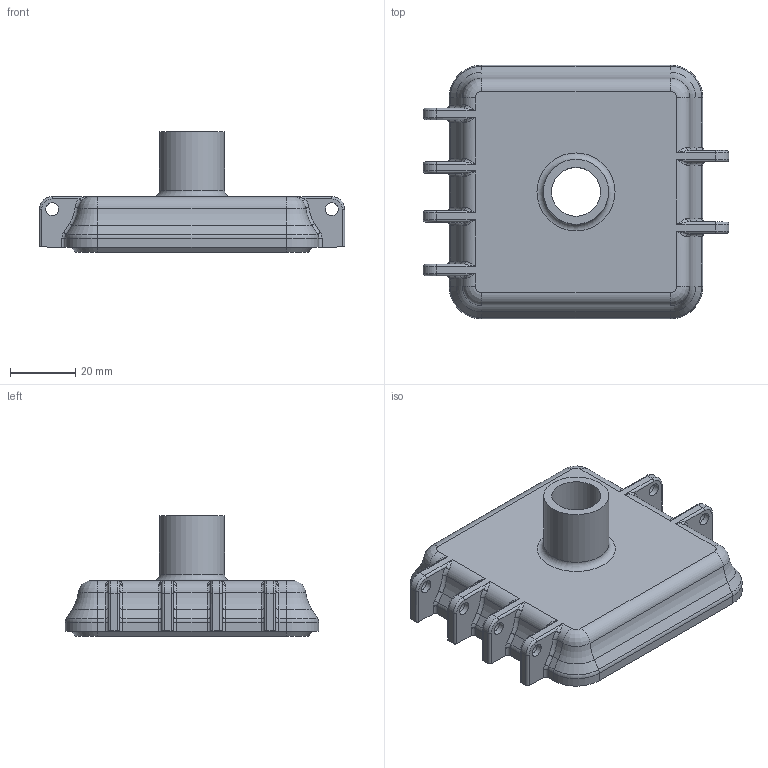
import cadquery as cq
import math

BODY_WIDTH = 78.0
BODY_HEIGHT = 15.6
CORNER_RADIUS = 10.0
SKIRT_HEIGHT = 2.8
SKIRT_BLEND_HEIGHT = 1.2
SHOULDER_RADIUS = 4.0
SHOULDER_INSET = 8.0
SHOULDER_LEAN = math.radians(7)
FLARE_LEAN = math.radians(32)
FLARE_TOP_Z = 6.8

LIP_WIDTH = 74.0
LIP_HEIGHT = 1.51
LIP_TAPER = 1.2

TUBE_DIAMETER = 20.0
TUBE_BORE = 15.0
TUBE_HEIGHT = 20.0
TUBE_FILLET = 2.0

EAR_SPAN = 93.99
EAR_ROOT_DEPTH = 10.0
EAR_THICKNESS = 3.5
EAR_TIP_RADIUS = 4.0
EAR_TIP_RISE = 0.2
EAR_EDGE_FILLET = 0.7
EAR_ROOT_FILLET = 1.0
EAR_HOLE_DIAMETER = 4.0
EAR_HOLE_DEPTH_FROM_TOP = 3.85
LEFT_EAR_Y = (-24.0, -7.5, 7.5, 24.0)
RIGHT_EAR_Y = (-11.0, 11.0)

TOLERANCE = 0.05

half_width = BODY_WIDTH / 2
flat_half_width = half_width - SHOULDER_INSET
corner_centre = half_width - CORNER_RADIUS
lip_corner_radius = CORNER_RADIUS - (BODY_WIDTH - LIP_WIDTH) / 2
ear_tip_x = EAR_SPAN / 2
ear_root_x = flat_half_width - EAR_ROOT_DEPTH


def side_profile(inner):
    """Section of the S-shaped side as (distance from the middle plane, z), closed off at `inner`."""
    shoulder_z = BODY_HEIGHT - SHOULDER_RADIUS

    def shoulder_point(angle):
        return (
            flat_half_width + SHOULDER_RADIUS * math.cos(angle),
            shoulder_z + SHOULDER_RADIUS * math.sin(angle),
        )

    waist = shoulder_point(SHOULDER_LEAN)
    waist_radius = (waist[1] - FLARE_TOP_Z) / (math.sin(FLARE_LEAN) - math.sin(SHOULDER_LEAN))

    def waist_point(angle):
        return (
            waist[0] + waist_radius * (math.cos(SHOULDER_LEAN) - math.cos(angle)),
            waist[1] - waist_radius * (math.sin(angle) - math.sin(SHOULDER_LEAN)),
        )

    flare_top = waist_point(FLARE_LEAN)
    blend_radius = SKIRT_BLEND_HEIGHT / math.sin(FLARE_LEAN)

    def blend_point(angle):
        return (
            half_width - blend_radius * (1 - math.cos(angle)),
            SKIRT_HEIGHT + blend_radius * math.sin(angle),
        )

    return (
        cq.Workplane("XZ")
        .moveTo(inner, 0)
        .lineTo(half_width, 0)
        .lineTo(half_width, SKIRT_HEIGHT)
        .threePointArc(blend_point(FLARE_LEAN / 2), blend_point(FLARE_LEAN))
        .lineTo(*flare_top)
        .threePointArc(waist_point((SHOULDER_LEAN + FLARE_LEAN) / 2), waist)
        .threePointArc(shoulder_point(math.radians(45)), (flat_half_width, BODY_HEIGHT))
        .lineTo(inner, BODY_HEIGHT)
        .close()
    )


def hood_body():
    """Square core with four straight walls and four turned corners around it."""
    core_width = 2 * corner_centre
    body = cq.Workplane("XY").box(core_width, core_width, BODY_HEIGHT, centered=(True, True, False))
    wall = side_profile(corner_centre).extrude(corner_centre, both=True)
    corner = side_profile(corner_centre).revolve(360, (corner_centre, 0), (corner_centre, 1))
    corner = corner.translate((0, corner_centre, 0))
    for turn in range(4):
        quarter_turns = ((0, 0, 0), (0, 0, 1), 90 * turn)
        body = body.union(wall.rotate(*quarter_turns)).union(corner.rotate(*quarter_turns))
    return body.clean()


def locating_lip():
    """Lip below the body, its side tapering inwards on the way down."""
    outline = cq.Sketch().rect(LIP_WIDTH, LIP_WIDTH).vertices().fillet(lip_corner_radius)
    taper = math.degrees(math.atan2(LIP_TAPER, LIP_HEIGHT))
    return cq.Workplane("XY").placeSketch(outline).extrude(-LIP_HEIGHT, taper=taper)


def tube_with_root_fillet():
    """Tube standing on the flat top, widened by a concave fillet at its root."""
    radius = TUBE_DIAMETER / 2
    root_mid = TUBE_FILLET * (1 - math.sqrt(0.5))
    return (
        cq.Workplane("XZ")
        .moveTo(0, BODY_HEIGHT)
        .lineTo(radius + TUBE_FILLET, BODY_HEIGHT)
        .threePointArc(
            (radius + root_mid, BODY_HEIGHT + root_mid),
            (radius, BODY_HEIGHT + TUBE_FILLET),
        )
        .lineTo(radius, BODY_HEIGHT + TUBE_HEIGHT)
        .lineTo(0, BODY_HEIGHT + TUBE_HEIGHT)
        .close()
        .revolve(360, (0, 0), (0, 1))
    )


def right_ear(y):
    """Ear on the +X side, with a rounded tip corner and rounded rims."""
    blank = (
        cq.Workplane("XZ")
        .moveTo(ear_root_x, 0)
        .lineTo(half_width + EAR_ROOT_FILLET, 0)
        .lineTo(ear_tip_x, EAR_TIP_RISE)
        .lineTo(ear_tip_x, BODY_HEIGHT)
        .lineTo(ear_root_x, BODY_HEIGHT)
        .close()
        .extrude(EAR_THICKNESS / 2, both=True)
    )
    ear = blank.edges(">X and >Z").fillet(EAR_TIP_RADIUS)
    rims = ear.faces("<Y or >Y").edges(">X or >Z or %CIRCLE")
    return rims.fillet(EAR_EDGE_FILLET).translate((0, y, 0))


def with_right_ears(solid, y_positions):
    """Join the +X ears to the solid and fillet the seams along the side of the body."""
    for y in y_positions:
        solid = solid.union(right_ear(y))
    seams = [
        edge
        for edge in solid.edges().vals()
        if is_ear_seam(edge.BoundingBox(), y_positions)
    ]
    return solid.newObject(seams).fillet(EAR_ROOT_FILLET)


def is_ear_seam(box, y_positions):
    """True for an edge lying on the body side, next to one of the ears, and rising in Z."""
    on_side = box.xmin > flat_half_width - TOLERANCE and box.xmax < half_width + TOLERANCE
    at_ear = any(
        box.ymin > y - EAR_THICKNESS / 2 - TOLERANCE and box.ymax < y + EAR_THICKNESS / 2 + TOLERANCE
        for y in y_positions
    )
    return on_side and at_ear and box.zlen > TOLERANCE


def ear_hole(side, y):
    """Cutter for the pin hole near the rounded tip corner; `side` is -1 or 1."""
    centre_x = side * (ear_tip_x - EAR_TIP_RADIUS)
    centre_z = BODY_HEIGHT - EAR_HOLE_DEPTH_FROM_TOP
    hole = cq.Workplane("XZ").circle(EAR_HOLE_DIAMETER / 2).extrude(EAR_THICKNESS, both=True)
    return hole.translate((centre_x, y, centre_z))


def half_turn(solid):
    """Turn the solid by 180 degrees about Z."""
    return solid.rotate((0, 0, 0), (0, 0, 1), 180)


part = with_right_ears(hood_body(), RIGHT_EAR_Y)
part = half_turn(with_right_ears(half_turn(part), [-y for y in LEFT_EAR_Y]))

part = part.union(locating_lip()).union(tube_with_root_fillet())

for side, y_positions in ((-1, LEFT_EAR_Y), (1, RIGHT_EAR_Y)):
    for y in y_positions:
        part = part.cut(ear_hole(side, y))

bore_length = TUBE_HEIGHT + BODY_HEIGHT + LIP_HEIGHT
bore = cq.Workplane("XY").workplane(offset=-LIP_HEIGHT).circle(TUBE_BORE / 2).extrude(bore_length)
result = part.cut(bore)